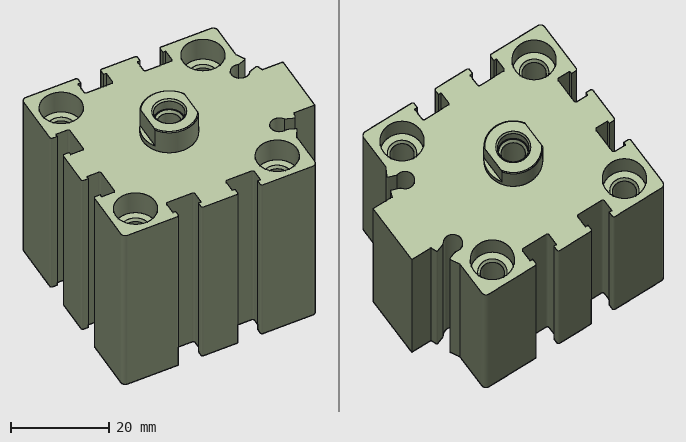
import cadquery as cq
import math

block_width = 44.5
half_block = block_width / 2
block_height = 43.0
corner_radius = 1.05

tongue_half_width = 6.95
overall_length = 52.0
tongue_tip_y = overall_length - half_block
apron_root_y = 25.0
ridge_x = 10.65
ridge_foot_x = 13.3

groove_lean = 20.0
groove_mouth_width = 3.0
groove_diameter = 3.95
groove_x = 8.65
groove_y = 20.75
groove_cut_length = 7.8
apron_edge_radius = 0.2

slot_offset = 6.8
slot_mouth_width = 5.2
slot_inner_width = 6.5
slot_lip = 1.5
slot_depth = 4.6
slot_corner_radius = 0.4
lip_edge_radius = 0.4

mount_pitch = 32.5
mount_offset = mount_pitch / 2
mount_diameter = 4.95
mount_bore_diameter = 9.0
mount_bore_depth = 5.7
mount_chamfer = 0.5

rod_diameter = 12.0
rod_radius = rod_diameter / 2
rod_top = 49.0
rod_embedded = 15.6
rod_bottom = block_height - rod_embedded
rod_chamfer = 0.2
flat_width = 10.0
flat_bottom = block_height + 1.25

rod_bore_radius = 6.4 / 2
rod_bore_chamfer = 0.35
rod_bore_depth = 2.6
rod_pilot_radius = 4.95 / 2
rod_pilot_chamfer = 0.5
rod_pilot_depth = 13.0
drill_half_angle = 59.0


def housing_outline():
    """Square block with the tongue and its sloping apron on +Y."""
    apron_drop = (ridge_x - tongue_half_width) * math.tan(math.radians(groove_lean))
    right_side = [
        (half_block, -half_block),
        (half_block, half_block),
        (ridge_foot_x, half_block),
        (ridge_x, apron_root_y - apron_drop),
        (tongue_half_width, apron_root_y),
        (tongue_half_width, tongue_tip_y),
    ]
    left_side = [(-x, y) for x, y in reversed(right_side)]
    return cq.Workplane("XY").polyline(right_side + left_side).close().extrude(block_height)


def round_edges(body, points, radius):
    """Round the full-height edges nearest to the given XY points."""
    for x, y in points:
        edge = cq.selectors.NearestToPointSelector((x, y, block_height / 2))
        body = body.edges("|Z").edges(edge).fillet(radius)
    return body


def t_slot(side_angle, offset):
    """T-slot cutter for the -Y side, turned about Z to another side."""
    inner_length = slot_depth - slot_lip
    inner = (
        cq.Workplane("XY")
        .center(offset, -half_block + slot_lip + inner_length / 2)
        .rect(slot_inner_width, inner_length)
        .extrude(block_height)
        .edges("|Z and >Y")
        .fillet(slot_corner_radius)
    )
    mouth = (
        cq.Workplane("XY")
        .center(offset, -half_block + slot_lip / 2)
        .rect(slot_mouth_width, slot_lip)
        .extrude(block_height)
    )
    return inner.union(mouth).rotate((0, 0, 0), (0, 0, 1), side_angle)


def keyhole_groove():
    """Cutter for the groove on the +X side of the tongue."""
    round_part = cq.Workplane("XY").circle(groove_diameter / 2).extrude(block_height)
    mouth = (
        cq.Workplane("XY")
        .center(0, groove_cut_length / 2)
        .rect(groove_mouth_width, groove_cut_length)
        .extrude(block_height)
    )
    cutter = round_part.union(mouth).rotate((0, 0, 0), (0, 0, 1), -groove_lean)
    return cutter.translate((groove_x, groove_y, 0))


def apron_point(across):
    """XY point on the apron at a given distance across the groove from its centreline."""
    lean = math.radians(groove_lean)
    base_x = groove_x + across * math.cos(lean)
    base_y = groove_y - across * math.sin(lean)
    apron_y = apron_root_y - (base_x - tongue_half_width) * math.tan(lean)
    rise = (apron_y - base_y) * math.cos(lean)
    return base_x + rise * math.sin(lean), base_y + rise * math.cos(lean)


def mounting_holes():
    """Counterbored through holes with a countersunk step at the counterbore floor."""
    mount_radius = mount_diameter / 2
    bore_radius = mount_bore_diameter / 2
    floor_z = block_height - mount_bore_depth
    cutter = (
        cq.Workplane("XZ")
        .moveTo(0, 0)
        .lineTo(mount_radius, 0)
        .lineTo(mount_radius, floor_z - mount_chamfer)
        .lineTo(mount_radius + mount_chamfer, floor_z)
        .lineTo(bore_radius, floor_z)
        .lineTo(bore_radius, block_height)
        .lineTo(0, block_height)
        .close()
        .revolve(360, (0, 0), (0, 1))
    )
    places = [(x, y) for x in (-mount_offset, mount_offset) for y in (-mount_offset, mount_offset)]
    return [cutter.translate((x, y, 0)) for x, y in places]


def make_housing():
    body = housing_outline()
    corners = [(x, y) for x in (-half_block, half_block) for y in (-half_block, half_block)]
    body = round_edges(body, corners, corner_radius)

    for side_angle in (0, 90, -90):
        for offset in (-slot_offset, slot_offset):
            body = body.cut(t_slot(side_angle, offset))

    lip_places = [
        centre + half_mouth
        for centre in (-slot_offset, slot_offset)
        for half_mouth in (-slot_mouth_width / 2, slot_mouth_width / 2)
    ]
    lip_edges = [(place, -half_block) for place in lip_places]
    lip_edges += [(x, place) for x in (-half_block, half_block) for place in lip_places]
    body = round_edges(body, lip_edges, lip_edge_radius)

    groove = keyhole_groove()
    body = body.cut(groove).cut(groove.mirror("YZ"))
    apron_edges = []
    for across in (-groove_mouth_width / 2, groove_mouth_width / 2):
        x, y = apron_point(across)
        apron_edges += [(x, y), (-x, y)]
    body = round_edges(body, apron_edges, apron_edge_radius)

    for hole in mounting_holes():
        body = body.cut(hole)

    rod_hole = cq.Workplane("XY").workplane(offset=rod_bottom).circle(rod_radius).extrude(rod_embedded)
    return body.cut(rod_hole)


def rod_end_hole():
    """Chamfered bore, then a countersunk pilot hole with a drill-point bottom."""
    ledge_z = rod_top - rod_bore_depth
    drill_point = rod_pilot_radius / math.tan(math.radians(drill_half_angle))
    return (
        cq.Workplane("XZ")
        .moveTo(0, rod_top)
        .lineTo(rod_bore_radius + rod_bore_chamfer, rod_top)
        .lineTo(rod_bore_radius, rod_top - rod_bore_chamfer)
        .lineTo(rod_bore_radius, ledge_z)
        .lineTo(rod_pilot_radius + rod_pilot_chamfer, ledge_z)
        .lineTo(rod_pilot_radius, ledge_z - rod_pilot_chamfer)
        .lineTo(rod_pilot_radius, rod_top - rod_pilot_depth)
        .lineTo(0, rod_top - rod_pilot_depth - drill_point)
        .close()
        .revolve(360, (0, 0), (0, 1))
    )


def make_rod():
    rod = (
        cq.Workplane("XY")
        .workplane(offset=rod_bottom)
        .circle(rod_radius)
        .extrude(rod_top - rod_bottom)
        .faces(">Z")
        .chamfer(rod_chamfer)
    )

    flat_cut_depth = rod_radius
    for side in (-1, 1):
        flat_cut = (
            cq.Workplane("XY")
            .workplane(offset=flat_bottom)
            .center(0, side * (flat_width + flat_cut_depth) / 2)
            .rect(rod_diameter, flat_cut_depth)
            .extrude(rod_top - flat_bottom)
        )
        rod = rod.cut(flat_cut)

    return rod.cut(rod_end_hole())


housing = make_housing()
rod = make_rod()

result = cq.Compound.makeCompound([housing.val(), rod.val()])